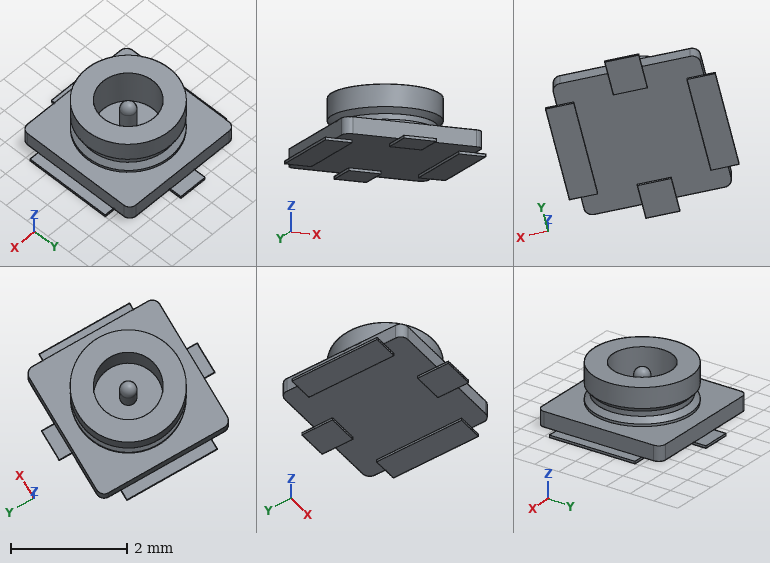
import cadquery as cq

pad_thickness = 0.05
pad_span_x = 3.0
pad_span_y = 3.1
side_pad_width = 1.8
side_pad_gap = 2.0
end_pad_width = 0.6
end_pad_gap = side_pad_width

base_side = 2.6
base_height = 0.3
base_corner_radius = 0.15

ring_radius = 2.0 / 2
neck_radius = 1.8 / 2
bore_radius = 1.2 / 2
total_height = 1.1
foot_height = 0.05
step_height = 0.1

pin_radius = 0.3 / 2
pin_tip_depth = 0.1

base_top = pad_thickness + base_height


def make_pad_pair(span, gap, width, along_x):
    """Two opposite pads lying on Z = 0."""
    length = (span - gap) / 2
    offset = (span + gap) / 4
    size = (length, width) if along_x else (width, length)
    centers = [(s * offset, 0) if along_x else (0, s * offset) for s in (-1, 1)]
    return cq.Workplane("XY").pushPoints(centers).rect(*size).extrude(pad_thickness)


def make_base():
    plate = cq.Workplane("XY").workplane(offset=pad_thickness).rect(base_side, base_side).extrude(base_height)
    return plate.edges("|Z").fillet(base_corner_radius)


def make_ring():
    """Open ring with a conical-sided snap groove, standing on the base."""
    foot_top = base_top + foot_height
    neck_bottom = foot_top + step_height
    neck_top = neck_bottom + step_height
    groove_top = neck_top + step_height
    profile = [
        (bore_radius, base_top),
        (ring_radius, base_top),
        (ring_radius, foot_top),
        (neck_radius, neck_bottom),
        (neck_radius, neck_top),
        (ring_radius, groove_top),
        (ring_radius, total_height),
        (bore_radius, total_height),
    ]
    return cq.Workplane("XZ").polyline(profile).close().revolve(360, (0, 0), (0, 1))


def make_pin():
    tip_center = total_height - pin_tip_depth - pin_radius
    shaft = cq.Workplane("XY").workplane(offset=base_top).circle(pin_radius).extrude(tip_center - base_top)
    tip = cq.Workplane("XY").sphere(pin_radius).translate((0, 0, tip_center))
    return shaft.union(tip)


result = (
    make_base()
    .union(make_pad_pair(pad_span_x, side_pad_gap, side_pad_width, along_x=True))
    .union(make_pad_pair(pad_span_y, end_pad_gap, end_pad_width, along_x=False))
    .union(make_ring())
    .union(make_pin())
)